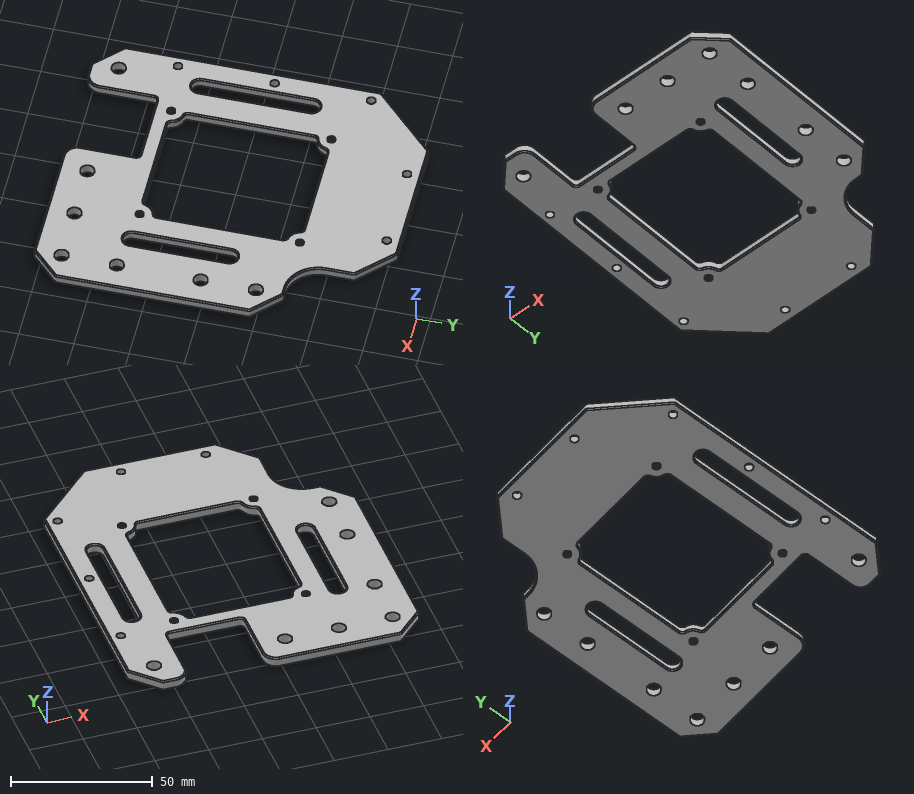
import cadquery as cq
width = 108.6
length = 125.1
thickness = 4.0
edge_chamfer = 0.5

corner_cut = 9.9
top_left_cut = 22.3
top_right_cut = 12.5
corner_radius = 1.0

step_width = 24.8
step_x = width - step_width
step_y = 90.2
step_radius = 12.0

notch_left = 19.9
notch_right = 48.5
notch_depth = 26.4
notch_inner_radius = 1.5
notch_outer_radius = 5

window_width = 49.0
window_length = 58.0
window_center = (49.4, 61.5)
lug_radius = 5
lug_blend_radius = 1.5

thread_minor_diameter = 2.5
thread_major_diameter = 3.0
thread_turns = 8

slot_width = 6.0
slots = [(11.5, 59.9, 46.5), (85.7, 49.9, 41.5)]

large_diameter = 5.1
large_inset = corner_cut
large_pitch = 20
large_column_x = width - large_inset
large_column_top = step_y - large_inset
large_holes = [
    (large_inset, large_inset),
    (large_column_x - 2 * large_pitch, large_inset),
    (large_column_x - large_pitch, large_inset),
    (large_column_x, large_inset),
    (large_column_x, large_inset + large_pitch),
    (large_column_x, large_column_top - large_pitch),
    (large_column_x, large_column_top),
]

small_diameter = 3.1
left_row_x = 4.3
left_row_start = 30
left_row_pitch = 35
top_row_y = 120.1
top_row_x = (34.5, 66.1)
small_holes = [(left_row_x, left_row_start + i * left_row_pitch) for i in range(3)]
small_holes += [(x, top_row_y) for x in top_row_x]


def vertical_edge_at(x, y):
    """Selector for the upright edge passing through (x, y)."""
    tolerance = 0.1
    return cq.selectors.BoxSelector(
        (x - tolerance, y - tolerance, -thickness),
        (x + tolerance, y + tolerance, 2 * thickness),
    )


def make_plate():
    sloped_corners = [
        (width - corner_cut, 0),
        (width, corner_cut),
        (width, step_y - corner_cut),
        (width - corner_cut, step_y),
        (step_x, length - top_right_cut),
        (step_x - top_right_cut, length),
        (top_left_cut, length),
        (0, length - top_left_cut),
        (0, corner_cut),
        (corner_cut, 0),
    ]
    notch = [(notch_left, 0), (notch_left, notch_depth), (notch_right, notch_depth), (notch_right, 0)]
    outline = notch + sloped_corners[:4] + [(step_x, step_y)] + sloped_corners[4:]

    plate = cq.Workplane("XY").polyline(outline).close().extrude(thickness)
    plate = plate.edges(vertical_edge_at(step_x, step_y)).fillet(step_radius)
    for x in (notch_left, notch_right):
        plate = plate.edges(vertical_edge_at(x, notch_depth)).fillet(notch_inner_radius)
        plate = plate.edges(vertical_edge_at(x, 0)).fillet(notch_outer_radius)
    for x, y in sloped_corners:
        plate = plate.edges(vertical_edge_at(x, y)).fillet(corner_radius)
    return plate


def make_window():
    base = cq.Workplane("XY").center(*window_center)
    window = base.rect(window_width, window_length).extrude(thickness)
    lugs = (
        base.rect(window_width, window_length, forConstruction=True)
        .vertices()
        .circle(lug_radius)
        .extrude(thickness)
    )
    return window.cut(lugs).edges("|Z").fillet(lug_blend_radius)


def make_slot(x, y, slot_length):
    return cq.Workplane("XY").center(x, y).slot2D(slot_length, slot_width, 90).extrude(thickness)


def make_plain_holes(centers, diameter):
    return cq.Workplane("XY").pushPoints(centers).circle(diameter / 2).extrude(thickness)


def make_threaded_hole(x, y):
    minor_radius = thread_minor_diameter / 2
    major_radius = thread_major_diameter / 2
    pitch = thickness / thread_turns
    profile = [(0, 0)]
    for turn in range(thread_turns):
        profile.append((major_radius, turn * pitch))
        profile.append((minor_radius, (turn + 0.5) * pitch))
    profile += [(major_radius, thickness), (0, thickness)]
    hole = cq.Workplane("XZ").polyline(profile).close().revolve(360, (0, 0), (0, 1))
    return hole.translate((x, y, 0))


plate = make_plate().cut(make_window())
for slot in slots:
    plate = plate.cut(make_slot(*slot))

plate = plate.faces("<Z or >Z").edges().chamfer(edge_chamfer)

plate = plate.cut(make_plain_holes(large_holes, large_diameter))
plate = plate.cut(make_plain_holes(small_holes, small_diameter))
for side_x in (-1, 1):
    for side_y in (-1, 1):
        lug_x = window_center[0] + side_x * window_width / 2
        lug_y = window_center[1] + side_y * window_length / 2
        plate = plate.cut(make_threaded_hole(lug_x, lug_y))

result = plate